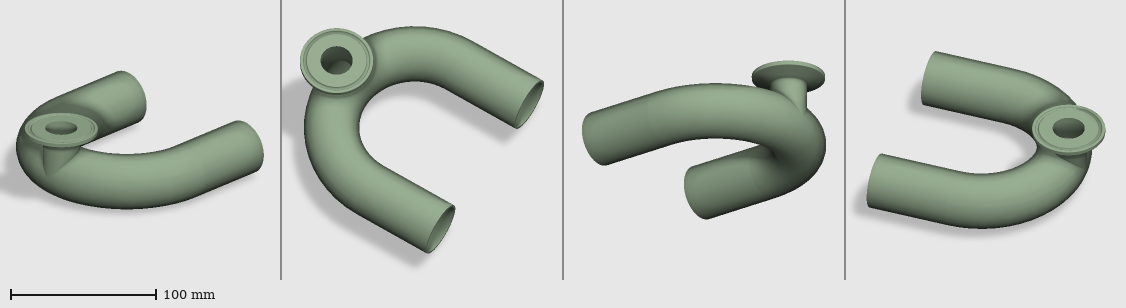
import cadquery as cq

tube_od = 38.1
tube_id = 34.7
bend_radius = 57.2
leg_length = 57.2

branch_od = 25.5
branch_id = 22.1
branch_y = -(bend_radius + tube_od / 2 - branch_od / 2)

ferrule_od = 50.5
ferrule_top_z = 34.9
rim_thickness = 3.0
hub_height = 7.6
hub_fillet = 0.9
edge_round = 0.38

groove_mean_diameter = 43.6
groove_radius = 1.2


def u_bend(diameter):
    """Solid round bar that follows the U-shaped centre line."""
    path = (
        cq.Workplane("XY")
        .moveTo(-bend_radius, leg_length)
        .lineTo(-bend_radius, 0)
        .threePointArc((0, -bend_radius), (bend_radius, 0))
        .lineTo(bend_radius, leg_length)
    )
    leg_end = cq.Plane(origin=(-bend_radius, leg_length, 0), xDir=(1, 0, 0), normal=(0, -1, 0))
    return cq.Workplane(leg_end).circle(diameter / 2).sweep(path)


def branch_bar(diameter):
    """Vertical bar from the tube centre line up to the ferrule face."""
    return cq.Workplane("XY").center(0, branch_y).circle(diameter / 2).extrude(ferrule_top_z)


def revolve_about_branch(profile):
    """Turn a closed sketch in (radius, z) around the branch axis."""
    return profile.revolve(360, (0, 0, 0), (0, 1, 0))


def circle_at(z, diameter):
    """Selector for the circular edge of this diameter about the branch axis."""
    reach = edge_round / 2
    x = diameter / 2
    return cq.selectors.BoxSelector(
        (-x - reach, branch_y - x - reach, z - reach),
        (x + reach, branch_y + x + reach, z + reach),
        boundingbox=True,
    )


def ferrule():
    """Rim with a grooved face and a conical back that blends into the branch tube."""
    rim_radius = ferrule_od / 2
    branch_radius = branch_od / 2
    groove_centre = groove_mean_diameter / 2
    rim_bottom_z = ferrule_top_z - rim_thickness
    hub_bottom_z = ferrule_top_z - hub_height
    collar_bottom_z = hub_bottom_z - 2 * hub_fillet
    radial_plane = cq.Workplane("XZ", origin=(0, branch_y, 0))

    body = revolve_about_branch(
        radial_plane.polyline([
            (0, ferrule_top_z),
            (rim_radius, ferrule_top_z),
            (rim_radius, rim_bottom_z),
            (branch_radius, hub_bottom_z),
            (branch_radius, collar_bottom_z),
            (0, collar_bottom_z),
        ]).close()
    )
    groove = revolve_about_branch(
        radial_plane.moveTo(groove_centre - groove_radius, ferrule_top_z)
        .threePointArc(
            (groove_centre, ferrule_top_z - groove_radius),
            (groove_centre + groove_radius, ferrule_top_z),
        )
        .close()
    )
    body = body.edges(circle_at(hub_bottom_z, branch_od)).fillet(hub_fillet)
    body = body.edges(circle_at(rim_bottom_z, ferrule_od)).fillet(edge_round)
    return body.cut(groove).faces(">Z").edges().fillet(edge_round)


outside = u_bend(tube_od).union(branch_bar(branch_od)).union(ferrule())
result = outside.cut(u_bend(tube_id)).cut(branch_bar(branch_id))